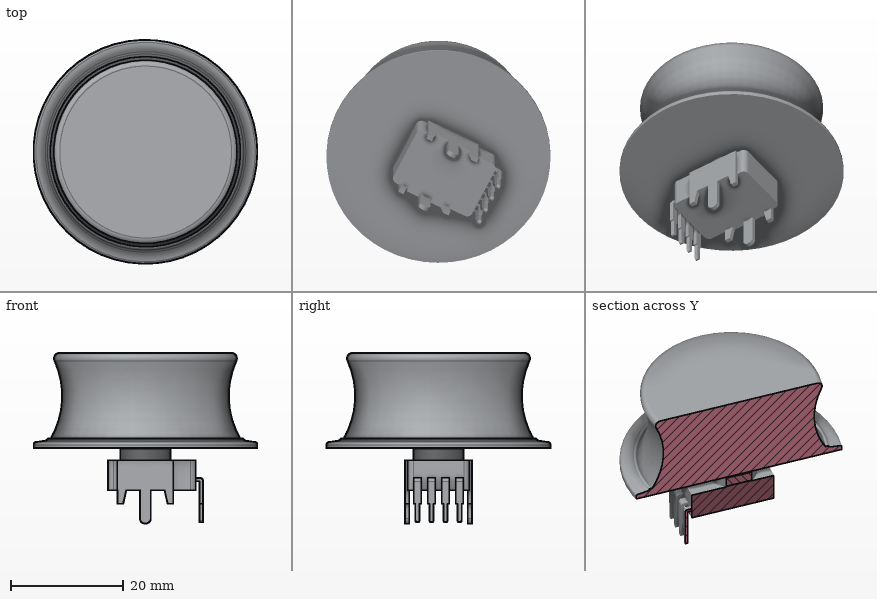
import cadquery as cq
import math


flange_radius = 20.0
flange_edge_height = 0.6
flange_edge_fillet = 0.5
flange_slope = math.radians(8)
bead_foot_radius = 17.9
bead_center = (17.22, 1.4)
bead_radius = 0.35
bead_shoulder_angle = math.radians(36)

knob_height = 17.0
rim_fillet = 1.0
rim_radius = 16.35
waist_radius = 14.9
waist_height = 9.3

collar_diameter = 9.0
collar_gap = 0.1
housing_top = -2.15
housing_height = 5.4
housing_left = -6.7
housing_right = 9.0
housing_width = 11.0
housing_corner = 1.0

plate_half_length = 5.0
plate_outer_y = 6.0
leg_thickness = 0.8
leg_width = 2.0
leg_length = 5.95
tab_length = 2.4
tab_root_x = 3.4
tab_tip_x = 3.95

terminal_count = 4
terminal_pitch = 2.5
terminal_thickness = 0.65
terminal_reach = 1.3
terminal_top = -5.3
terminal_bend = 0.6
terminal_length = 5.7
terminal_wide = 1.4
terminal_narrow = 0.8

housing_bottom = housing_top - housing_height
shoulder_z = housing_bottom - tab_length


def point_on_circle(center, radius, angle):
    """Point (r, z) on a circle, with the angle measured from the outward direction."""
    return (center[0] + radius * math.cos(angle), center[1] + radius * math.sin(angle))


def make_knob():
    """Solid of revolution: flange, bead, concave grip and rounded rim."""
    edge_center = (flange_radius - flange_edge_fillet, flange_edge_height)
    edge_end_angle = math.pi / 2 - flange_slope
    edge_middle = point_on_circle(edge_center, flange_edge_fillet, edge_end_angle / 2)
    edge_end = point_on_circle(edge_center, flange_edge_fillet, edge_end_angle)
    bead_foot_height = edge_end[1] + (edge_end[0] - bead_foot_radius) * math.tan(flange_slope)

    rim_center = (rim_radius - rim_fillet, knob_height - rim_fillet)
    rim_rise = rim_center[1] - waist_height
    inset = waist_radius - rim_center[0]
    grip_radius = (rim_rise**2 + inset**2 - rim_fillet**2) / (2 * (rim_fillet - inset))
    grip_center = (waist_radius + grip_radius, waist_height)
    rim_angle = -math.asin(rim_rise / (grip_radius + rim_fillet))
    rim_start = point_on_circle(rim_center, rim_fillet, rim_angle)
    rim_middle = point_on_circle(rim_center, rim_fillet, (rim_angle + math.pi / 2) / 2)

    to_bead = (bead_center[0] - grip_center[0], bead_center[1] - grip_center[1])
    distance = math.hypot(*to_bead)
    cut_cosine = (distance**2 + bead_radius**2 - grip_radius**2) / (2 * distance * bead_radius)
    bead_end_angle = math.atan2(-to_bead[1], -to_bead[0]) + math.acos(cut_cosine)
    grip_foot = point_on_circle(bead_center, bead_radius, bead_end_angle)
    bead_shoulder = point_on_circle(bead_center, bead_radius, bead_shoulder_angle)
    bead_crest = (bead_center[0], bead_center[1] + bead_radius)

    return (
        cq.Workplane("XZ")
        .moveTo(0, 0)
        .lineTo(flange_radius, 0)
        .lineTo(flange_radius, flange_edge_height)
        .threePointArc(edge_middle, edge_end)
        .lineTo(bead_foot_radius, bead_foot_height)
        .tangentArcPoint(bead_shoulder, relative=False)
        .threePointArc(bead_crest, grip_foot)
        .threePointArc((waist_radius, waist_height), rim_start)
        .threePointArc(rim_middle, (rim_center[0], knob_height))
        .lineTo(0, knob_height)
        .close()
        .revolve(360, (0, 0, 0), (0, 1, 0))
    )


def make_collar():
    """Plain round collar standing on the housing."""
    return (
        cq.Workplane("XY", origin=(0, 0, housing_top))
        .circle(collar_diameter / 2)
        .extrude(-collar_gap - housing_top)
    )


def make_side_plate(side):
    """Plate on the +Y (side = 1) or -Y (side = -1) face, with a round-ended leg and two tabs."""
    core_y = housing_width / 2
    plate = cq.Workplane("XY").box(
        2 * plate_half_length, plate_outer_y - core_y, housing_height, centered=(True, False, False)
    ).translate((0, core_y, housing_bottom))
    leg_radius = leg_width / 2
    leg_straight_end = housing_bottom - leg_length + leg_radius
    feet = (
        cq.Workplane("XZ", origin=(0, plate_outer_y, 0))
        .moveTo(-leg_radius, housing_bottom)
        .lineTo(-leg_radius, leg_straight_end)
        .threePointArc((0, housing_bottom - leg_length), (leg_radius, leg_straight_end))
        .lineTo(leg_radius, housing_bottom)
        .close()
    )
    for end in (-1, 1):
        feet = feet.polyline([
            (end * plate_half_length, housing_bottom),
            (end * plate_half_length, shoulder_z),
            (end * tab_tip_x, shoulder_z),
            (end * tab_root_x, housing_bottom),
        ]).close()
    plate = plate.union(feet.extrude(leg_thickness))
    return plate if side > 0 else plate.mirror("XZ")


def make_housing():
    """Round-cornered block with a side plate on each long face."""
    length = housing_right - housing_left
    block = (
        cq.Workplane("XY")
        .box(length, housing_width, housing_height, centered=(False, True, False))
        .translate((housing_left, 0, housing_bottom))
        .edges("|Z")
        .fillet(housing_corner)
    )
    return block.union(make_side_plate(-1)).union(make_side_plate(1))


def make_terminal(y):
    """Flat strip bent downwards, with a narrow lower part and a rounded tip."""
    outer_x = housing_right + terminal_reach
    inner_x = outer_x - terminal_thickness
    tip_z = housing_bottom - terminal_length
    strip = (
        cq.Workplane("XZ")
        .moveTo(housing_right, terminal_top)
        .lineTo(outer_x - terminal_bend, terminal_top)
        .radiusArc((outer_x, terminal_top - terminal_bend), terminal_bend)
        .lineTo(outer_x, tip_z)
        .lineTo(inner_x, tip_z)
        .lineTo(inner_x, terminal_top - terminal_thickness)
        .lineTo(housing_right, terminal_top - terminal_thickness)
        .close()
        .extrude(terminal_wide / 2, both=True)
    )
    wide = terminal_wide / 2
    narrow = terminal_narrow / 2
    outline = (
        cq.Workplane("YZ", origin=(housing_right, 0, 0))
        .moveTo(-wide, terminal_top)
        .lineTo(-wide, shoulder_z)
        .lineTo(-narrow, shoulder_z)
        .lineTo(-narrow, tip_z + narrow)
        .threePointArc((0, tip_z), (narrow, tip_z + narrow))
        .lineTo(narrow, shoulder_z)
        .lineTo(wide, shoulder_z)
        .lineTo(wide, terminal_top)
        .close()
        .extrude(terminal_reach)
    )
    return strip.intersect(outline).translate((0, y, 0))


knob = make_knob()
collar = make_collar()
housing = make_housing()
terminals = [
    make_terminal((i - (terminal_count - 1) / 2) * terminal_pitch) for i in range(terminal_count)
]

result = cq.Compound.makeCompound(
    [knob.val(), collar.val(), housing.val()] + [terminal.val() for terminal in terminals]
)